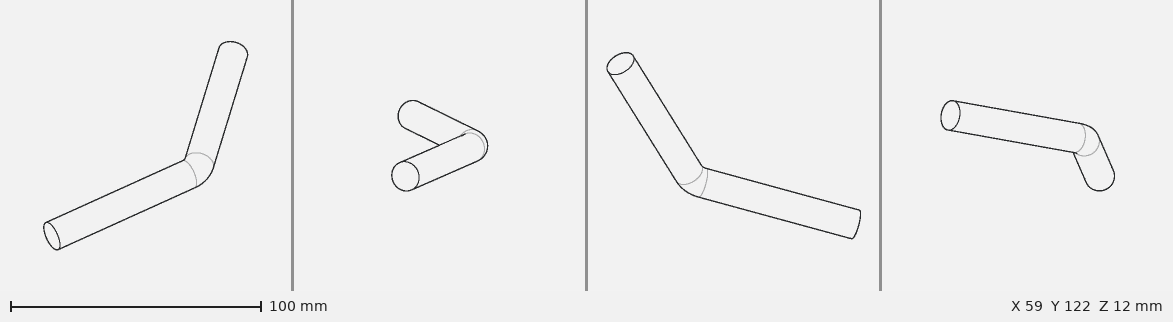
import cadquery as cq
import math

overall_length = 122.0
bar_diameter = 12.0
bend_radius = 9.6
bend_angle = 45.0

bar_radius = bar_diameter / 2
bend_sin = math.sin(math.radians(bend_angle))
bend_cos = math.cos(math.radians(bend_angle))

leg_length = (overall_length - (bend_radius + bar_radius) * bend_sin) / (1 + bend_cos)


def bend_point(angle):
    """Point on the bend's centreline after turning by angle degrees."""
    turn = math.radians(angle)
    return (
        bend_radius * (math.cos(turn) - 1),
        leg_length + bend_radius * math.sin(turn),
    )


bend_end = bend_point(bend_angle)
tip = (bend_end[0] - leg_length * bend_sin, bend_end[1] + leg_length * bend_cos)

centreline = (
    cq.Workplane("XY")
    .lineTo(0, leg_length)
    .threePointArc(bend_point(bend_angle / 2), bend_end)
    .lineTo(*tip)
)

result = cq.Workplane("XZ").circle(bar_radius).sweep(centreline)